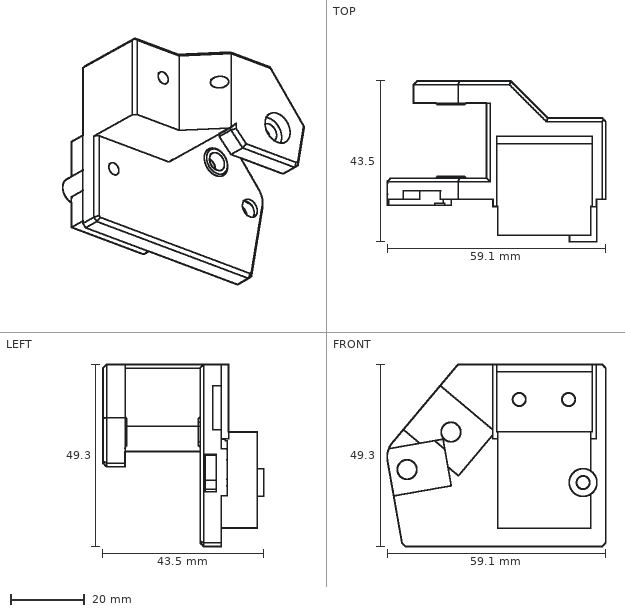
import cadquery as cq
import math


RIGHT_X = 41.86
TOP_Z = 18.3
BOTTOM_Z = TOP_Z - 49.25
EDGE_CHAMFER = 1.0

SLOPE_ANGLE = 50.0
SLOPE_DISTANCE = 10.3
LEAN_ANGLE = 10.0
LEFT_EDGE_DISTANCE = 18.27
CORNER_RADIUS = 6.0

FRONT_PLATE_DEPTH = 5.75
REAR_PLATE_FRONT_Y = 26.0
REAR_Y = 32.0
REAR_PLATE_LEFT_X = -10.15
REAR_PLATE_BOTTOM_Z = -9.4
REAR_PLATE_FOOT_X = 11.4
WEB_LEFT_X = 9.6
WEB_REAR_Y = 22.0
WEB_BOTTOM_Z = -5.3
WEB_REAR_CORNER_X = 26.2
WEB_LEFT_FOOT_Z = 1.55

PIVOT_DIAMETER = 5.2
BUSHING_BASE_DIAMETER = 8.2
BUSHING_HEIGHT = 0.45
COUNTERBORE_DIAMETER = 8.75
COUNTERBORE_DEPTH = 3.6

RECESS_HALF_WIDTH = 7.75
RECESS_INNER_REACH = 9.15
RECESS_DEPTH = 2.3

PAD_HOLE_DISTANCE = 15.6
PAD_HOLE_ANGLE = 220.5
PAD_HALF_HEIGHT = 6.4
PAD_INNER_REACH = 11.0
PAD_HEIGHT = 1.6
PAD_NOTCH_HEIGHT = 0.55
PAD_NOTCH_DISTANCE = 4.63

SLOT_HALF_WIDTH = 4.7
SLOT_FRONT_Y = 1.4
SLOT_REAR_Y = 4.4
SLOT_INNER_REACH = 10.2
SLOT_MOUTH_CHAMFER = 0.5

POCKET_LEFT_X = 12.4
POCKET_RIGHT_X = 38.25
POCKET_REAR_Y = 15.0
POCKET_CHAMFER = 2.0
RIB_WIDTH = 1.05
RIB_HEIGHT = 1.95
RIB_BOTTOM_Z = -1.85

BLOCK_LEFT_X = 12.6
BLOCK_RIGHT_X = 37.85
BLOCK_TOP_Z = 0.05
BLOCK_BOTTOM_Z = -26.0
BLOCK_FRONT_Y = -9.75
SHAFT_X = 35.72
SHAFT_Z = -13.65
SHAFT_DIAMETER = 7.5
SHAFT_FRONT_Y = REAR_Y - 43.52

SCREW_DIAMETER = 3.5
SCREW_XS = (18.45, 31.8)
SCREW_Z = 8.8


def direction(angle):
    """Unit vector (x, z) at an angle in degrees from +X towards +Z."""
    return math.cos(math.radians(angle)), math.sin(math.radians(angle))


def frame(origin, angle, y):
    """Workplane facing -Y at depth y; local x lies along the angle and local y points to +Z at zero angle.

    Extruding by a negative length runs towards +Y.
    """
    x, z = direction(angle)
    plane = cq.Plane(origin=(origin[0], y, origin[1]), xDir=(x, 0, z), normal=(0, -1, 0))
    return cq.Workplane(plane)


def prism(points, y_start, y_end, origin=(0, 0), angle=0):
    return frame(origin, angle, y_start).polyline(points).close().extrude(y_start - y_end)


def slab(x_start, x_end, z_start, z_end, y_start, y_end, origin=(0, 0), angle=0):
    corners = [(x_start, z_start), (x_end, z_start), (x_end, z_end), (x_start, z_end)]
    return prism(corners, y_start, y_end, origin, angle)


def rod(x, z, diameter, y_start, y_end):
    return frame((x, z), 0, y_start).circle(diameter / 2).extrude(y_start - y_end)


def slope_x(z):
    return (z * math.cos(math.radians(SLOPE_ANGLE)) - SLOPE_DISTANCE) / math.sin(math.radians(SLOPE_ANGLE))


def slope_z(x):
    return (x * math.sin(math.radians(SLOPE_ANGLE)) + SLOPE_DISTANCE) / math.cos(math.radians(SLOPE_ANGLE))


def left_edge_x(z):
    return -(LEFT_EDGE_DISTANCE + z * math.sin(math.radians(LEAN_ANGLE))) / math.cos(math.radians(LEAN_ANGLE))


def slope_left_corner():
    """Point where the slope and the leaning left edge would meet without rounding."""
    slope, lean = math.radians(SLOPE_ANGLE), math.radians(LEAN_ANGLE)
    z = SLOPE_DISTANCE * math.cos(lean) - LEFT_EDGE_DISTANCE * math.sin(slope)
    z /= math.cos(slope - lean)
    return left_edge_x(z), z


def front_outline(y_start, y_end):
    c = EDGE_CHAMFER
    corner = slope_left_corner()
    points = [
        (slope_x(TOP_Z), TOP_Z),
        corner,
        (left_edge_x(BOTTOM_Z + c), BOTTOM_Z + c),
        (left_edge_x(BOTTOM_Z + c) + c, BOTTOM_Z),
        (RIGHT_X - c, BOTTOM_Z),
        (RIGHT_X, BOTTOM_Z + c),
        (RIGHT_X, TOP_Z - c),
        (RIGHT_X - c, TOP_Z),
    ]
    corner_edge = cq.selectors.NearestToPointSelector((corner[0], (y_start + y_end) / 2, corner[1]))
    return prism(points, y_start, y_end).edges(corner_edge).fillet(CORNER_RADIUS)


def rear_plate():
    c = EDGE_CHAMFER
    corner_z = slope_z(REAR_PLATE_LEFT_X)
    foot_x = REAR_PLATE_LEFT_X + (corner_z - REAR_PLATE_BOTTOM_Z) * math.tan(math.radians(LEAN_ANGLE))
    inner_x = REAR_PLATE_FOOT_X + WEB_BOTTOM_Z - REAR_PLATE_BOTTOM_Z
    points = [
        (slope_x(TOP_Z), TOP_Z),
        (REAR_PLATE_LEFT_X, corner_z),
        (foot_x - c * math.tan(math.radians(LEAN_ANGLE)), REAR_PLATE_BOTTOM_Z + c),
        (foot_x + c, REAR_PLATE_BOTTOM_Z),
        (REAR_PLATE_FOOT_X, REAR_PLATE_BOTTOM_Z),
        (inner_x, WEB_BOTTOM_Z),
        (inner_x, TOP_Z),
    ]
    return prism(points, REAR_PLATE_FRONT_Y, REAR_Y).faces(">Y").chamfer(c)


def web_prism(points):
    """Upright prism over the full height of the web, from an outline in X and Y."""
    base = cq.Workplane("XY", origin=(0, 0, WEB_BOTTOM_Z))
    return base.polyline(points).close().extrude(TOP_Z - WEB_BOTTOM_Z)


def web():
    c = EDGE_CHAMFER
    diagonal_start_x = WEB_REAR_CORNER_X - (REAR_Y - WEB_REAR_Y)
    points = [
        (WEB_LEFT_X, 0),
        (WEB_LEFT_X, REAR_Y),
        (diagonal_start_x, REAR_Y),
        (WEB_REAR_CORNER_X, WEB_REAR_Y),
        (RIGHT_X, WEB_REAR_Y),
        (RIGHT_X, 0),
    ]
    body = web_prism(points).faces(">Z").edges("not <Y").chamfer(c)
    corner = [(RIGHT_X - c, WEB_REAR_Y), (RIGHT_X, WEB_REAR_Y), (RIGHT_X, WEB_REAR_Y - c)]
    body = body.cut(web_prism(corner))
    undercut = WEB_LEFT_FOOT_Z - WEB_BOTTOM_Z
    wedge = [
        (WEB_LEFT_X, WEB_LEFT_FOOT_Z),
        (WEB_LEFT_X, WEB_BOTTOM_Z),
        (WEB_LEFT_X + undercut, WEB_BOTTOM_Z),
    ]
    return body.cut(prism(wedge, FRONT_PLATE_DEPTH, REAR_Y))


def bushing(y_face, y_tip):
    """Conical collar around the pivot, standing on the inner face of a plate."""
    tip_diameter = BUSHING_BASE_DIAMETER - 2 * BUSHING_HEIGHT
    base = frame((0, 0), 0, y_face).circle(BUSHING_BASE_DIAMETER / 2)
    return base.workplane(offset=y_face - y_tip).circle(tip_diameter / 2).loft()


def pad_hole_center():
    x, z = direction(PAD_HOLE_ANGLE)
    return PAD_HOLE_DISTANCE * x, PAD_HOLE_DISTANCE * z


def pad_edge_offset():
    """Distance from the pad hole to the leaning left edge."""
    x, z = pad_hole_center()
    outward_x, outward_z = direction(180 + LEAN_ANGLE)
    return LEFT_EDGE_DISTANCE - x * outward_x - z * outward_z


def pivot_recess():
    return slab(-2 * SLOPE_DISTANCE, RECESS_INNER_REACH, -RECESS_HALF_WIDTH, RECESS_HALF_WIDTH,
                0, RECESS_DEPTH, angle=SLOPE_ANGLE - 90)


def pad():
    block = slab(-2 * pad_edge_offset(), PAD_INNER_REACH, -PAD_HALF_HEIGHT, PAD_HALF_HEIGHT,
                 -PAD_HEIGHT, RECESS_DEPTH, pad_hole_center(), LEAN_ANGLE)
    block = block.intersect(front_outline(-PAD_HEIGHT, RECESS_DEPTH))
    notch = slab(-SLOPE_DISTANCE, SLOPE_DISTANCE, -PAD_NOTCH_DISTANCE, PAD_NOTCH_DISTANCE,
                 -PAD_HEIGHT, -PAD_HEIGHT + PAD_NOTCH_HEIGHT, angle=SLOPE_ANGLE - 90)
    return block.cut(notch)


def edge_slot():
    mouth = -pad_edge_offset()
    throat = mouth + SLOT_MOUTH_CHAMFER
    flare = SLOT_HALF_WIDTH + SLOT_MOUTH_CHAMFER
    points = [
        (SLOT_INNER_REACH, SLOT_HALF_WIDTH),
        (throat, SLOT_HALF_WIDTH),
        (mouth, flare),
        (mouth, -flare),
        (throat, -SLOT_HALF_WIDTH),
        (SLOT_INNER_REACH, -SLOT_HALF_WIDTH),
    ]
    return prism(points, SLOT_FRONT_Y, SLOT_REAR_Y, pad_hole_center(), LEAN_ANGLE)


def motor_pocket():
    depth = slab(POCKET_LEFT_X, POCKET_RIGHT_X, BLOCK_TOP_Z, TOP_Z, -RIB_HEIGHT, POCKET_REAR_Y)
    lip = (
        cq.Workplane("YZ", origin=(POCKET_LEFT_X, 0, 0))
        .moveTo(POCKET_REAR_Y, TOP_Z)
        .lineTo(POCKET_REAR_Y + POCKET_CHAMFER, TOP_Z)
        .lineTo(POCKET_REAR_Y, TOP_Z - POCKET_CHAMFER)
        .close()
        .extrude(POCKET_RIGHT_X - POCKET_LEFT_X)
    )
    return depth.union(lip)


def pocket_frame():
    """Raised rectangle that the pocket cuts into, which leaves a rib along each side.

    It reaches back to close off the tip of the pivot recess.
    """
    return slab(POCKET_LEFT_X - RIB_WIDTH, POCKET_RIGHT_X + RIB_WIDTH, RIB_BOTTOM_Z, TOP_Z,
                -RIB_HEIGHT, RECESS_DEPTH)


def motor_block():
    block = slab(BLOCK_LEFT_X, BLOCK_RIGHT_X, BLOCK_BOTTOM_Z, BLOCK_TOP_Z, BLOCK_FRONT_Y, 0)
    return block.union(rod(SHAFT_X, SHAFT_Z, SHAFT_DIAMETER, SHAFT_FRONT_Y, 0))


def holes():
    pad_x, pad_z = pad_hole_center()
    cutters = rod(0, 0, PIVOT_DIAMETER, SHAFT_FRONT_Y, REAR_Y)
    cutters = cutters.union(rod(0, 0, COUNTERBORE_DIAMETER, REAR_Y - COUNTERBORE_DEPTH, REAR_Y))
    cutters = cutters.union(rod(pad_x, pad_z, PIVOT_DIAMETER, SHAFT_FRONT_Y, FRONT_PLATE_DEPTH))
    cutters = cutters.union(rod(SHAFT_X, SHAFT_Z, SCREW_DIAMETER, SHAFT_FRONT_Y, FRONT_PLATE_DEPTH))
    for x in SCREW_XS:
        cutters = cutters.union(rod(x, SCREW_Z, SCREW_DIAMETER, 0, REAR_Y))
    return cutters


front_plate = front_outline(0, FRONT_PLATE_DEPTH).faces(">Y").chamfer(EDGE_CHAMFER)

result = front_plate.union(web()).union(rear_plate())
result = result.cut(pivot_recess()).union(pad()).cut(edge_slot())
result = result.union(pocket_frame()).cut(motor_pocket()).union(motor_block())
result = result.union(bushing(FRONT_PLATE_DEPTH, FRONT_PLATE_DEPTH + BUSHING_HEIGHT))
result = result.union(bushing(REAR_PLATE_FRONT_Y, REAR_PLATE_FRONT_Y - BUSHING_HEIGHT))
result = result.cut(holes())